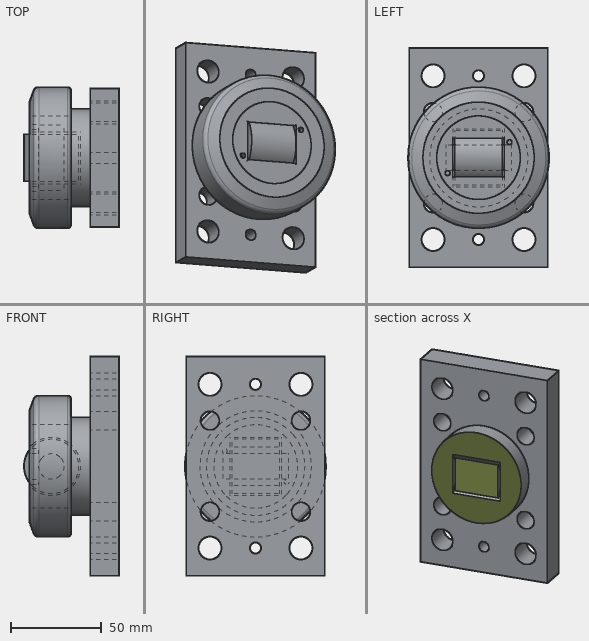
import cadquery as cq
import math


PLATE_THICKNESS = 15.875
PLATE_WIDTH = 76.2
PLATE_HEIGHT = 120.65
CORNER_HOLE_DIAMETER = 12.5
CORNER_HOLE_SPACING_Y = 50.0
CORNER_HOLE_SPACING_Z = 90.0
INNER_HOLE_DIAMETER = 10.2
INNER_HOLE_SPACING = 50.0
DOWEL_HOLE_DIAMETER = 6.0

BEARING_HEIGHT = 36.5
ROLLER_PROTRUSION = 3.0
RING_WIDTH = 23.0
RING_DIAMETER = 77.7
RING_BORE = 46.0
NECK_DIAMETER = 54.0
RING_BEVEL_DEPTH = 3.0
RING_BEVEL_ANGLE = 20.0
RING_FRONT_FILLET = 3.0
RING_REAR_FILLET = 2.0

ROLLER_DIAMETER = 30.0
ROLLER_LENGTH = 26.0
AXLE_DIAMETER = 14.0
AXLE_LENGTH = 36.0
POCKET_LENGTH = 28.4
POCKET_RADIAL_CLEARANCE = 1.0

FACE_HOLE_DIAMETER = 2.7
FACE_HOLE_DEPTH = 5.0
FACE_HOLE_Y = 17.0
FACE_HOLE_Z = 8.5

CROWN_X = -BEARING_HEIGHT
FACE_X = CROWN_X + ROLLER_PROTRUSION
RING_REAR_X = FACE_X + RING_WIDTH
ROLLER_AXIS_X = CROWN_X + ROLLER_DIAMETER / 2


def disc(diameter, start_x, end_x):
    """Cylinder on the bearing axis between two X stations."""
    return cq.Workplane("YZ", origin=(start_x, 0, 0)).circle(diameter / 2).extrude(end_x - start_x)


def cross_cylinder(diameter, length):
    """Cylinder on the side roller axis, which runs along Y, centred on Y = 0."""
    start = (ROLLER_AXIS_X, length / 2, 0)
    return cq.Workplane("XZ", origin=start).circle(diameter / 2).extrude(length)


def drilled(centres, diameter, face_x, depth):
    """Cutting cylinders of one diameter at (y, z) centres, running from face_x toward +X."""
    return cq.Workplane("YZ", origin=(face_x, 0, 0)).pushPoints(centres).circle(diameter / 2).extrude(depth)


def corners(spacing_y, spacing_z):
    """Four (y, z) points of a rectangle centred on the bearing axis."""
    return [(y * spacing_y / 2, z * spacing_z / 2) for y in (-1, 1) for z in (-1, 1)]


def make_plate():
    """Flat plate with two sets of four holes and a dowel hole above and below the bearing."""
    plate = cq.Workplane("YZ").rect(PLATE_WIDTH, PLATE_HEIGHT).extrude(PLATE_THICKNESS)
    dowel_centres = [(0, side * CORNER_HOLE_SPACING_Z / 2) for side in (-1, 1)]
    hole_sets = [
        (corners(CORNER_HOLE_SPACING_Y, CORNER_HOLE_SPACING_Z), CORNER_HOLE_DIAMETER),
        (corners(INNER_HOLE_SPACING, INNER_HOLE_SPACING), INNER_HOLE_DIAMETER),
        (dowel_centres, DOWEL_HOLE_DIAMETER),
    ]
    for centres, diameter in hole_sets:
        plate = plate.cut(drilled(centres, diameter, 0, PLATE_THICKNESS))
    return plate


def make_ring():
    """Outer ring: bevelled front edge, both rims of the running surface rounded."""
    outer_radius = RING_DIAMETER / 2
    face_radius = outer_radius - RING_BEVEL_DEPTH / math.tan(math.radians(RING_BEVEL_ANGLE))
    bevel_x = FACE_X + RING_BEVEL_DEPTH
    ring = (
        cq.Workplane("XY")
        .moveTo(FACE_X, RING_BORE / 2)
        .lineTo(FACE_X, face_radius)
        .lineTo(bevel_x, outer_radius)
        .lineTo(RING_REAR_X, outer_radius)
        .lineTo(RING_REAR_X, RING_BORE / 2)
        .close()
        .revolve(360, (0, 0, 0), (1, 0, 0))
    )
    widest_rims = cq.selectors.RadiusNthSelector(-1)
    front_rim = ring.edges(widest_rims).edges("<X")
    ring = front_rim.fillet(RING_FRONT_FILLET)
    return ring.faces(">X").edges(widest_rims).fillet(RING_REAR_FILLET)


def make_pocket():
    """Round pocket concentric with the side roller; it breaks out through the core face."""
    return cross_cylinder(ROLLER_DIAMETER + 2 * POCKET_RADIAL_CLEARANCE, POCKET_LENGTH)


def make_face_holes():
    """Two blind holes placed diagonally on either side of the pocket."""
    centres = [(side * FACE_HOLE_Y, -side * FACE_HOLE_Z) for side in (-1, 1)]
    return drilled(centres, FACE_HOLE_DIAMETER, FACE_X, FACE_HOLE_DEPTH)


def make_core():
    """Stepped core: spigot inside the ring and a wider neck standing on the plate."""
    core = disc(RING_BORE, FACE_X, RING_REAR_X).union(disc(NECK_DIAMETER, RING_REAR_X, 0))
    return core.cut(make_pocket()).cut(make_axle()).cut(make_face_holes())


def make_axle():
    """Plain pin that carries the side roller, its ends seated in the core."""
    return cross_cylinder(AXLE_DIAMETER, AXLE_LENGTH)


def make_side_roller():
    """Roller standing proud of the core face, bored for its axle."""
    return cross_cylinder(ROLLER_DIAMETER, ROLLER_LENGTH).cut(make_axle())


plate = make_plate()
core = make_core()
ring = make_ring()
side_roller = make_side_roller()
axle = make_axle()

result = cq.Compound.makeCompound(
    [plate.val(), core.val(), ring.val(), side_roller.val(), axle.val()]
)